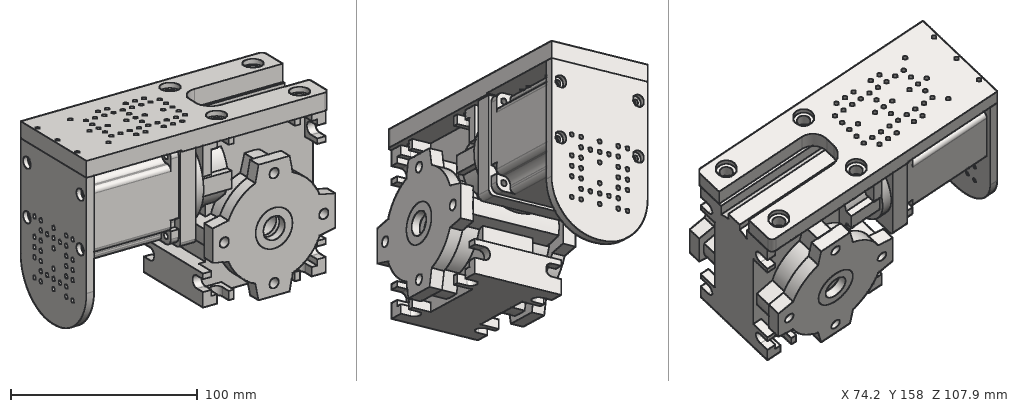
import cadquery as cq
import math


gearbox_half_length = 40.0
gearbox_top = 57.2
wall_half_width = 16.1
foot_half_width = 28.0
foot_length = 20.0
foot_thickness = 5.5
slot_radius = 3.8
slot_inset = 13.0
slot_x = 22.0
bore_radius = 7.0
front_notch_y = -30.2
boss_radius = 27.6
lobe_tip_radius = 37.8
lobe_root_half_width = 7.6
lobe_tip_half_width = 4.7

channel_half_width = 10.7
ridge_half_width = 4.7
ridge_drop = 1.1

motor_axis_z = 29.7
worm_tube_radius = 22.6
worm_tube_length = 19.9
worm_rib_half_width = 26.2
worm_rib_half_height = 5.2

cross_outer_x = 37.1
cross_inner_x = 29.0
cross_radius = 32.0
tab_root_half_width = 12.2
tab_tip_half_width = 10.1
cross_hole_radius = 3.0
cross_hole_circle = 32.4
ring_radius = 12.0
ring_thickness = 5.2

round_flange_radius = 28.6
round_flange_thickness = 6.0
adapter_half_width = 29.9
adapter_thickness = 10.1
adapter_corner = 3.2
motor_half_width = 28.3
motor_flange_thickness = 5.0
motor_flange_corner = 4.6
motor_notch = 8.8
motor_notch_fillet = 4.6
motor_nose_fillet = 3.0
motor_hole_offset = 23.5
motor_hole_radius = 1.7
ear_notch_top = 12.6
ear_notch_bottom = 19.1
ear_notch_depth = 3.5
ear_notch_fillet = 3.2

overall_length = 158.0
overall_height = 107.9
plate_half_width = 31.1
plate_rear_corner = 3.0
plate_slot_half_width = 12.5
plate_slot_length = 67.2
plate_slot_corner = 9.5
mount_hole_radius = 3.6
mount_bore_radius = 5.7
mount_bore_depth = 3.2
end_plate_thickness = 5.0
end_plate_corner = 30.0
end_screw_x = 25.1
end_screw_z = 16.1
end_screw_radius = 1.7
end_screw_bore_radius = 3.5
end_screw_bore_depth = 3.0
edge_hole_x = 18.8

grid_pitch = 6.0
grid_hole_radius = 1.3
BAR = (-2, -1, 0, 1, 2)
SIDES = (-3, -2, 2, 3)
SIDES_AND_MIDDLE = (-3, -2, 0, 2, 3)
top_grid = [BAR, SIDES_AND_MIDDLE, SIDES, SIDES_AND_MIDDLE, BAR,
            SIDES_AND_MIDDLE, SIDES, (-2, 0, 2), BAR, (-3, 0, 3)]
end_grid = [SIDES_AND_MIDDLE, BAR, SIDES_AND_MIDDLE, SIDES, SIDES_AND_MIDDLE, BAR, SIDES_AND_MIDDLE]
top_grid_y = -40.6
end_grid_z = 16.7

rear_y = gearbox_half_length
gearbox_front_y = -gearbox_half_length
gearbox_bottom = -gearbox_half_length
adapter_rear_y = gearbox_front_y - round_flange_thickness
motor_rear_y = adapter_rear_y - adapter_thickness
motor_body_rear_y = motor_rear_y - motor_flange_thickness
front_y = rear_y - overall_length
end_plate_rear_y = front_y + end_plate_thickness
plate_top = gearbox_bottom + overall_height
motor_top = motor_axis_z + motor_half_width


def box(x0, x1, y0, y1, z0, z1):
    """Box between two corners."""
    return cq.Workplane("XY").box(x1 - x0, y1 - y0, z1 - z0, centered=False).translate((x0, y0, z0))


def x_cylinder(radius, x0, x1, y=0.0, z=0.0):
    return cq.Workplane("YZ", origin=(x0, y, z)).circle(radius).extrude(x1 - x0)


def y_cylinder(radius, y0, y1, x=0.0, z=0.0):
    return cq.Workplane("XZ", origin=(x, y1, z)).circle(radius).extrude(y1 - y0)


def z_cylinder(radius, z0, z1, x=0.0, y=0.0):
    return cq.Workplane("XY", origin=(x, y, z0)).circle(radius).extrude(z1 - z0)


def tab(root_radius, root_half_width, tip_half_width, tip_z, x_span, angle):
    """Tapered tab pointing along +Z, turned by an angle about the wheel axis."""
    root_z = math.sqrt(root_radius**2 - root_half_width**2)
    outline = [
        (-root_half_width, 0),
        (-root_half_width, root_z),
        (-tip_half_width, tip_z),
        (tip_half_width, tip_z),
        (root_half_width, root_z),
        (root_half_width, 0),
    ]
    x0, x1 = x_span
    solid = cq.Workplane("YZ", origin=(x0, 0, 0)).polyline(outline).close().extrude(x1 - x0)
    return solid.rotate((0, 0, 0), (1, 0, 0), angle)


def cross_holes():
    """The four holes around the wheel axis, right through the gearbox."""
    holes = cq.Workplane("YZ", origin=(-cross_outer_x, 0, 0))
    holes = holes.polarArray(cross_hole_circle, 0, 360, 4).circle(cross_hole_radius)
    return holes.extrude(2 * cross_outer_x)


def foot(y_side, z_side, slotted_upright):
    """L-shaped foot bar along X in one corner of the housing, with open slots at both ends."""
    corner_y = y_side * gearbox_half_length
    corner_z = gearbox_top if z_side > 0 else gearbox_bottom

    def leg(length_y, length_z):
        y_span = sorted((corner_y, corner_y - y_side * length_y))
        z_span = sorted((corner_z, corner_z - z_side * length_z))
        return box(-foot_half_width, foot_half_width, *y_span, *z_span)

    bar = leg(foot_length, foot_thickness).union(leg(foot_thickness, foot_length))
    slot_y = corner_y - y_side * slot_inset
    slot_z = corner_z - z_side * slot_inset
    for side in (-1, 1):
        slot_span = sorted((side * slot_x, side * foot_half_width))
        z_span = (corner_z - foot_thickness, corner_z + foot_thickness)
        bar = bar.cut(box(*slot_span, slot_y - slot_radius, slot_y + slot_radius, *z_span))
        bar = bar.cut(z_cylinder(slot_radius, *z_span, side * slot_x, slot_y))
        if slotted_upright:
            y_span = (corner_y - foot_thickness, corner_y + foot_thickness)
            bar = bar.cut(box(*slot_span, *y_span, slot_z - slot_radius, slot_z + slot_radius))
            bar = bar.cut(y_cylinder(slot_radius, *y_span, side * slot_x, slot_z))
    return bar


def top_channel():
    """Channel along the top of the housing; its floor follows the worm tube, with a ridge on it."""
    y_span = (gearbox_front_y, rear_y)
    channel = box(-channel_half_width, channel_half_width, *y_span, motor_axis_z, gearbox_top)
    floor = y_cylinder(worm_tube_radius, *y_span, z=motor_axis_z)
    ridge = box(-ridge_half_width, ridge_half_width, *y_span, motor_axis_z, gearbox_top - ridge_drop)
    return channel.cut(floor).cut(ridge)


def worm_housing():
    """Worm tube with a flat rib along each side."""
    y_span = (gearbox_front_y, gearbox_front_y + worm_tube_length)
    tube = y_cylinder(worm_tube_radius, *y_span, z=motor_axis_z)
    rib = box(-worm_rib_half_width, worm_rib_half_width, *y_span,
              motor_axis_z - worm_rib_half_height, motor_axis_z + worm_rib_half_height)
    return tube.union(rib)


def side_boss():
    """Round boss through both sides, with a round-tipped lobe behind each tab of the crosses."""
    boss = x_cylinder(boss_radius, -cross_inner_x, cross_inner_x)
    lobe_span = (-foot_half_width, foot_half_width)
    lobe_limit = x_cylinder(lobe_tip_radius, *lobe_span)
    for quarter in range(4):
        lobe = tab(boss_radius, lobe_root_half_width, lobe_tip_half_width, lobe_tip_radius,
                   lobe_span, 90 * quarter)
        boss = boss.union(lobe.intersect(lobe_limit))
    return boss


def make_housing():
    body = box(-wall_half_width, wall_half_width, gearbox_front_y, rear_y, gearbox_bottom, gearbox_top)
    body = body.cut(box(-wall_half_width, wall_half_width, gearbox_front_y, front_notch_y,
                        gearbox_bottom + foot_length, motor_axis_z))
    body = body.union(side_boss()).union(worm_housing())
    for y_side in (-1, 1):
        for z_side in (-1, 1):
            slotted_upright = not (y_side < 0 and z_side > 0)
            body = body.union(foot(y_side, z_side, slotted_upright))
    body = body.cut(top_channel())
    body = body.cut(x_cylinder(bore_radius, -cross_inner_x, cross_inner_x))
    return body.cut(cross_holes())


def make_cross(side):
    x_span = sorted((side * cross_inner_x, side * cross_outer_x))
    cross = x_cylinder(cross_radius, *x_span)
    for quarter in range(4):
        cross = cross.union(tab(cross_radius, tab_root_half_width, tab_tip_half_width,
                                gearbox_half_length, x_span, 90 * quarter))
    return cross.cut(x_cylinder(ring_radius, *x_span)).cut(cross_holes())


def make_ring(side):
    x_span = sorted((side * (cross_outer_x - ring_thickness), side * cross_outer_x))
    return x_cylinder(ring_radius, *x_span).cut(x_cylinder(bore_radius, *x_span))


def make_round_flange():
    disc = y_cylinder(round_flange_radius, adapter_rear_y, gearbox_front_y, z=motor_axis_z)
    above_disc = box(-plate_half_width, plate_half_width, adapter_rear_y, gearbox_front_y,
                     gearbox_top, plate_top)
    return disc.cut(above_disc)


def make_adapter():
    adapter = box(-adapter_half_width, adapter_half_width, motor_rear_y, adapter_rear_y,
                  motor_axis_z - adapter_half_width, gearbox_top)
    return adapter.edges("|Y and <Z").fillet(adapter_corner)


def motor_body():
    """Square body with a rounded notch along each of its four corners."""
    edge = motor_half_width
    step = motor_half_width - motor_notch
    outline = [
        (-step, -edge), (step, -edge), (step, -step), (edge, -step),
        (edge, step), (step, step), (step, edge), (-step, edge),
        (-step, step), (-edge, step), (-edge, -step), (-step, -step),
    ]
    length = motor_body_rear_y - end_plate_rear_y
    body = cq.Workplane("XZ", origin=(0, motor_body_rear_y, motor_axis_z))
    body = body.polyline(outline).close().extrude(length)
    middle_y = (motor_body_rear_y + end_plate_rear_y) / 2

    def inner_corner_window(x_side, z_side):
        """Selector for one inner notch edge by a small box around its middle."""
        x = x_side * step
        z = motor_axis_z + z_side * step
        reach = motor_notch / 4
        low_corner = (x - reach, middle_y - reach, z - reach)
        high_corner = (x + reach, middle_y + reach, z + reach)
        return cq.selectors.BoxSelector(low_corner, high_corner)

    inner_corners = [inner_corner_window(x_side, z_side) for x_side in (-1, 1) for z_side in (-1, 1)]
    for window in inner_corners:
        body = body.edges(window).fillet(motor_notch_fillet)
    for selector in ("<X", ">X", "<Z", ">Z"):
        body = body.faces(selector).edges("|Y").fillet(motor_nose_fillet)
    return body


def motor_flange():
    """Square front flange with an open notch above each lower ear."""
    flange = box(-motor_half_width, motor_half_width, motor_body_rear_y, motor_rear_y,
                 motor_axis_z - motor_half_width, motor_top)
    flange = flange.edges("|Y").fillet(motor_flange_corner)
    for side in (-1, 1):
        x_span = sorted((side * motor_half_width, side * (motor_half_width - ear_notch_depth)))
        notch = box(*x_span, motor_body_rear_y, motor_rear_y,
                    motor_axis_z - ear_notch_bottom, motor_axis_z - ear_notch_top)
        inner = "<X" if side > 0 else ">X"
        notch = notch.faces(inner).edges("|Y and >Z").fillet(ear_notch_fillet)
        flange = flange.cut(notch)
        for z_side in (-1, 1):
            flange = flange.cut(y_cylinder(motor_hole_radius, motor_body_rear_y, motor_rear_y,
                                           side * motor_hole_offset,
                                           motor_axis_z + z_side * motor_hole_offset))
    return flange


def make_motor():
    return motor_flange().union(motor_body())


def make_mounting_plate():
    plate = box(-plate_half_width, plate_half_width, front_y, rear_y, gearbox_top, plate_top)
    plate = plate.edges("|Z and >Y").fillet(plate_rear_corner)
    plate = plate.cut(box(-plate_half_width, plate_half_width, front_y, motor_rear_y,
                          gearbox_top, motor_top))
    slot = box(-plate_slot_half_width, plate_slot_half_width, rear_y - plate_slot_length, rear_y,
               gearbox_top, plate_top)
    plate = plate.cut(slot.edges("|Z and <Y").fillet(plate_slot_corner))
    mount_y = gearbox_half_length - slot_inset
    for x in (-slot_x, slot_x):
        for y in (-mount_y, mount_y):
            plate = plate.cut(z_cylinder(mount_hole_radius, gearbox_top, plate_top, x, y))
            plate = plate.cut(z_cylinder(mount_bore_radius, plate_top - mount_bore_depth, plate_top, x, y))
    places = [(column * grid_pitch, top_grid_y - row * grid_pitch)
              for row, columns in enumerate(top_grid) for column in columns]
    edge_hole_y = (front_y + end_plate_rear_y) / 2
    places += [(x, edge_hole_y) for x in (-edge_hole_x, 0, edge_hole_x)]
    holes = cq.Workplane("XY", origin=(0, 0, gearbox_top)).pushPoints(places)
    return plate.cut(holes.circle(grid_hole_radius).extrude(plate_top - gearbox_top))


def make_end_plate():
    plate = box(-plate_half_width, plate_half_width, front_y, end_plate_rear_y, gearbox_bottom, motor_top)
    plate = plate.edges("|Y and <Z").fillet(end_plate_corner)
    places = [(column * grid_pitch, end_grid_z - row * grid_pitch)
              for row, columns in enumerate(end_grid) for column in columns]
    holes = cq.Workplane("XZ", origin=(0, end_plate_rear_y, 0)).pushPoints(places)
    plate = plate.cut(holes.circle(grid_hole_radius).extrude(end_plate_thickness))
    bore_floor_y = front_y + end_screw_bore_depth
    for x in (-end_screw_x, end_screw_x):
        for z in (motor_axis_z - end_screw_z, motor_axis_z + end_screw_z):
            plate = plate.cut(y_cylinder(end_screw_radius, front_y, end_plate_rear_y, x, z))
            plate = plate.cut(y_cylinder(end_screw_bore_radius, front_y, bore_floor_y, x, z))
    return plate


housing = make_housing()
crosses = [make_cross(side) for side in (-1, 1)]
rings = [make_ring(side) for side in (-1, 1)]
round_flange = make_round_flange()
adapter = make_adapter()
motor = make_motor()
mounting_plate = make_mounting_plate()
end_plate = make_end_plate()

bodies = [housing, *crosses, *rings, round_flange, adapter, motor, mounting_plate, end_plate]
result = cq.Compound.makeCompound([body.solids().val() for body in bodies])